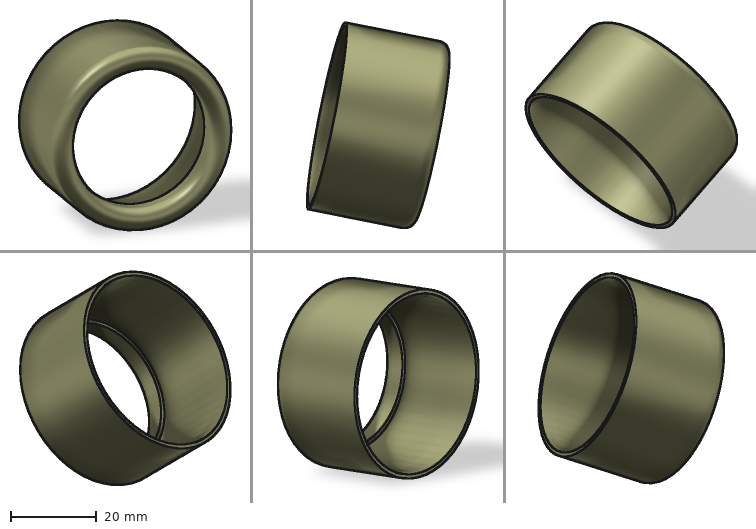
import cadquery as cq

outer_diameter = 44.5
opening_diameter = 33.8
length = 25.0
bore_diameter = 42.5
lip_return = 3.43

outer_radius = outer_diameter / 2
opening_radius = opening_diameter / 2
wall = (outer_diameter - bore_diameter) / 2
roll_radius = (outer_radius - opening_radius) / 2
roll_center_radius = opening_radius + roll_radius
inner_roll_radius = roll_radius - wall

open_end = -length / 2
rolled_end = length / 2
roll_start = rolled_end - roll_radius
lip_end = roll_start - lip_return

section = (
    cq.Workplane("XY")
    .moveTo(open_end, outer_radius)
    .lineTo(roll_start, outer_radius)
    .threePointArc((rolled_end, roll_center_radius), (roll_start, opening_radius))
    .lineTo(lip_end, opening_radius)
    .lineTo(lip_end, opening_radius + wall)
    .lineTo(roll_start, opening_radius + wall)
    .threePointArc(
        (roll_start + inner_roll_radius, roll_center_radius),
        (roll_start, outer_radius - wall),
    )
    .lineTo(open_end, outer_radius - wall)
    .close()
)

result = section.revolve(360, (0, 0, 0), (1, 0, 0))